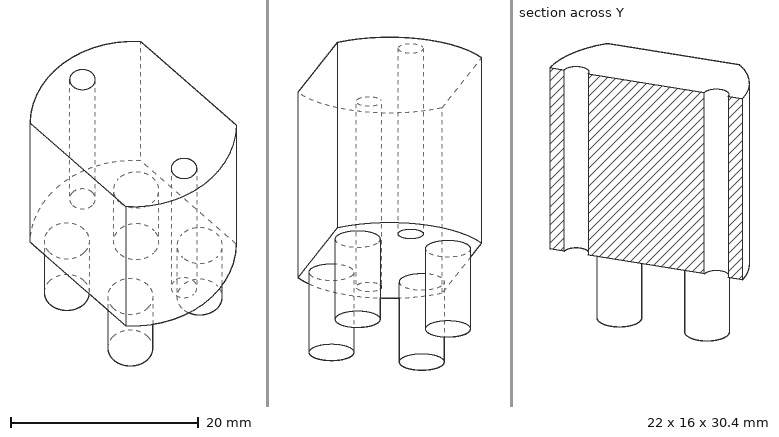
import cadquery as cq

total_height = 30.43
body_diameter = 22.0
body_width = 16.0

pin_length = 9.2
pin_diameter = 4.8
pin_spacing = 10.0

hole_diameter = 2.7
hole_spacing = 16.0

body_height = total_height - pin_length


def make_body():
    """Cylinder trimmed by two flats parallel to the XZ plane."""
    cylinder = cq.Workplane("XY").circle(body_diameter / 2).extrude(body_height)
    slab = cq.Workplane("XY").rect(body_diameter, body_width).extrude(body_height)
    return cylinder.intersect(slab)


def add_pins(body):
    """Four pins hanging from the underside of the body at Z = 0."""
    pins = (
        cq.Workplane("XY")
        .rarray(pin_spacing, pin_spacing, 2, 2)
        .circle(pin_diameter / 2)
        .extrude(-pin_length)
    )
    return body.union(pins)


def cut_holes(part):
    """Two holes through the body, clear of the pins."""
    holes = (
        cq.Workplane("XY")
        .rarray(hole_spacing, 0.3, 2, 1)
        .circle(hole_diameter / 2)
        .extrude(body_height)
    )
    return part.cut(holes)


result = cut_holes(add_pins(make_body()))